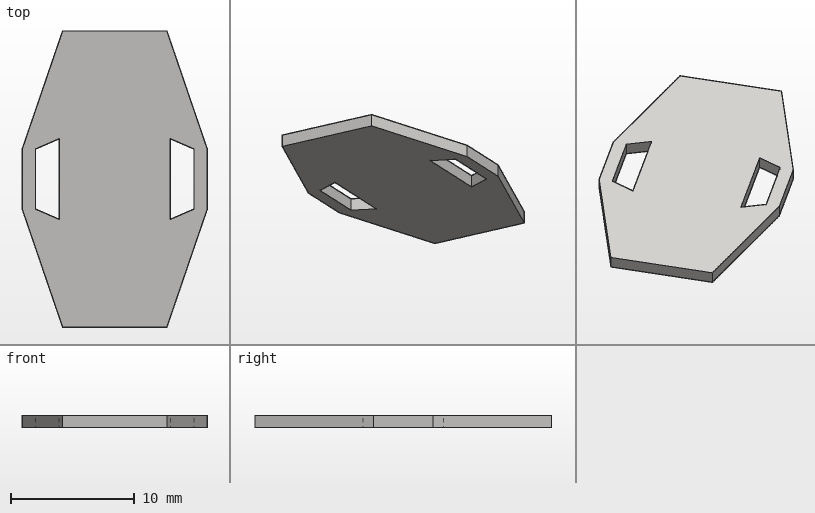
import cadquery as cq

length = 24.0
width = 15.0
thickness = 1.0
end_width = 8.45
side_length = 4.85

slot_outer_x = 6.4
slot_inner_x = 4.5
slot_outer_length = side_length
slot_inner_length = 6.5


def plate():
    """Elongated octagon centred on the origin, resting on Z = 0."""
    return (
        cq.Workplane("XY")
        .polyline([
            (end_width / 2, -length / 2),
            (width / 2, -side_length / 2),
            (width / 2, side_length / 2),
            (end_width / 2, length / 2),
            (-end_width / 2, length / 2),
            (-width / 2, side_length / 2),
            (-width / 2, -side_length / 2),
            (-end_width / 2, -length / 2),
        ])
        .close()
        .extrude(thickness)
    )


def slot(side):
    """Through-slot on the +X (side = 1) or -X (side = -1) edge, longer toward the centre."""
    return (
        cq.Workplane("XY")
        .polyline([
            (side * slot_inner_x, -slot_inner_length / 2),
            (side * slot_outer_x, -slot_outer_length / 2),
            (side * slot_outer_x, slot_outer_length / 2),
            (side * slot_inner_x, slot_inner_length / 2),
        ])
        .close()
        .extrude(thickness)
    )


result = plate()
for side in (-1, 1):
    result = result.cut(slot(side))